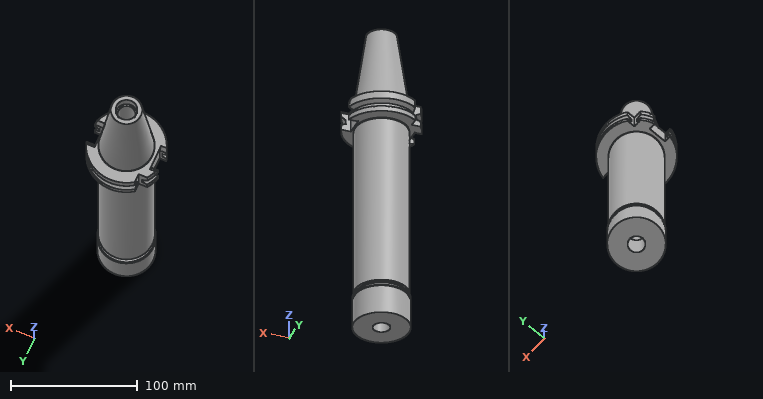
import cadquery as cq

total_length = 268.5
shank_length = 69.2
relief_length = 0.8
flange_thickness = 18.3
ring_thickness = 2.0
ring_top_z = 27.5
neck_top_z = 30.5
flange_top_z = total_length - shank_length
flange_bottom_z = flange_top_z - flange_thickness
taper_base_z = flange_top_z + relief_length
body_top_z = flange_bottom_z - relief_length
ring_bottom_z = ring_top_z - ring_thickness

taper_small_radius = 12.3
taper_large_radius = 22.3
relief_radius = 22.0
flange_diameter = 63.5
flange_radius = flange_diameter / 2
groove_radius = 28.2
body_radius = 22.3
neck_diameter = 40.0
neck_radius = neck_diameter / 2
nut_radius = 23.0
ring_radius = nut_radius
bore_radius = 7.0
counterbore_radius = 8.5
counterbore_depth = 8.0
nut_chamfer = 0.8

groove_start = 6.5
groove_root_start = 8.9
groove_root_end = 12.0
groove_end = 13.7

slot_width = 16.0
slot_chamfer = 3.0
left_slot_floor = 25.0
right_slot_floor = 22.8

notch_x = 18.5
notch_y = 18.5


def revolve_profile(points):
    """Turn a closed (radius, height) outline about the Z axis."""
    return cq.Workplane("XZ").polyline(points).close().revolve(360, (0, 0), (0, 1))


def make_turned_blank():
    """Taper, grooved flange, body and neck as one turned shape with its axial bore."""
    blank = revolve_profile([
        (0, ring_bottom_z),
        (neck_radius, ring_bottom_z),
        (neck_radius, neck_top_z),
        (body_radius, neck_top_z),
        (body_radius, body_top_z),
        (relief_radius, body_top_z),
        (relief_radius, flange_bottom_z),
        (flange_radius, flange_bottom_z),
        (flange_radius, flange_top_z - groove_end),
        (groove_radius, flange_top_z - groove_root_end),
        (groove_radius, flange_top_z - groove_root_start),
        (flange_radius, flange_top_z - groove_start),
        (flange_radius, flange_top_z),
        (relief_radius, flange_top_z),
        (relief_radius, taper_base_z),
        (taper_large_radius, taper_base_z),
        (taper_small_radius, total_length),
        (0, total_length),
    ])
    top_face = blank.faces(">Z").workplane()
    return top_face.cboreHole(2 * bore_radius, 2 * counterbore_radius, counterbore_depth)


def make_drive_slot(direction, floor_distance):
    """Slot cutter with a flared mouth, open outward along +X or -X."""
    half_width = slot_width / 2
    mouth = half_width + slot_chamfer
    profile = [
        (-half_width, flange_bottom_z),
        (half_width, flange_bottom_z),
        (half_width, flange_top_z - slot_chamfer),
        (mouth, flange_top_z),
        (-mouth, flange_top_z),
        (-half_width, flange_top_z - slot_chamfer),
    ]
    floor = direction * floor_distance
    outward = direction * flange_radius
    return cq.Workplane("YZ", origin=(floor, 0, 0)).polyline(profile).close().extrude(outward)


def make_notch():
    """Cutter for the square corner at -X, +Y through the full flange thickness."""
    return (
        cq.Workplane("XY", origin=(-notch_x, notch_y, flange_bottom_z))
        .rect(-flange_radius, flange_radius, centered=False)
        .extrude(flange_thickness)
    )


def make_holder():
    return (
        make_turned_blank()
        .cut(make_drive_slot(-1, left_slot_floor))
        .cut(make_drive_slot(1, right_slot_floor))
        .cut(make_notch())
    )


def make_ring():
    """Plain ring around the end of the neck, flush with the neck's lower face."""
    return (
        cq.Workplane("XY", origin=(0, 0, ring_bottom_z))
        .circle(ring_radius)
        .circle(neck_radius)
        .extrude(ring_thickness)
    )


def make_nut():
    """Nut below the ring, chamfered at its upper rim and bored through."""
    return (
        cq.Workplane("XY")
        .circle(nut_radius)
        .extrude(ring_bottom_z)
        .faces(">Z")
        .chamfer(nut_chamfer)
        .faces("<Z")
        .workplane()
        .hole(2 * bore_radius)
    )


holder = make_holder()
ring = make_ring()
nut = make_nut()

result = cq.Compound.makeCompound([holder.solids().val(), ring.val(), nut.solids().val()])